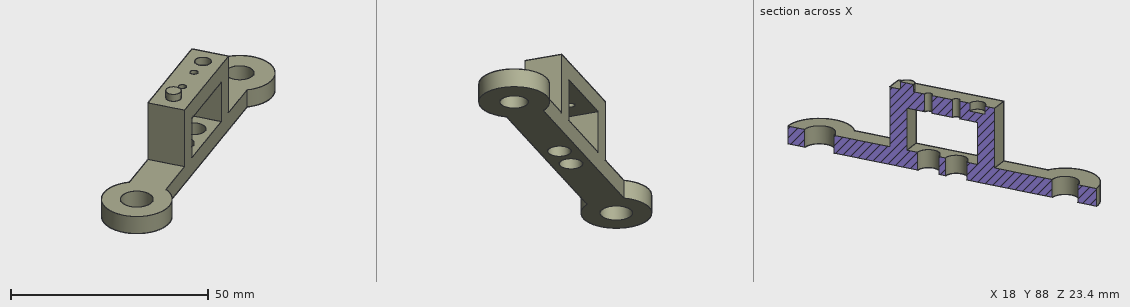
import cadquery as cq

total_length = 88.0
eye_diameter = 17.95
eye_offset = (total_length - eye_diameter) / 2
arm_width = 10.0
base_thickness = 5.0
rear_eye_bore = 7.2
front_eye_bore = 8.3

frame_length = 30.0
wall = 5.0
window_height = 11.4
window_length = frame_length - 2 * wall
window_top = base_thickness + window_height
frame_height = window_top + wall

peg_offset = 10.0
peg_diameter = 4.0
peg_height = 2.0
socket_diameter = 4.2
socket_depth = 2.2

screw_offset = 4.0
screw_diameter = 2.0
access_diameter = 6.0


def cylinder(diameter, y, z_bottom, height):
    """Upright cylinder on the centreline of the bar."""
    return cq.Workplane("XY", origin=(0, y, z_bottom)).circle(diameter / 2).extrude(height)


def block(length, z_bottom, height):
    """Centred block as wide as the arm."""
    return cq.Workplane("XY", origin=(0, 0, z_bottom)).rect(arm_width, length).extrude(height)


result = block(2 * eye_offset, 0, base_thickness)
for y in (-eye_offset, eye_offset):
    result = result.union(cylinder(eye_diameter, y, 0, base_thickness))
result = result.union(block(frame_length, 0, frame_height))
result = result.cut(block(window_length, base_thickness, window_height))

for bore, y in ((front_eye_bore, -eye_offset), (rear_eye_bore, eye_offset)):
    result = result.cut(cylinder(bore, y, 0, base_thickness))

for y in (-screw_offset, screw_offset):
    result = result.cut(cylinder(screw_diameter, y, window_top, wall))
    result = result.cut(cylinder(access_diameter, y, 0, base_thickness))

result = result.union(cylinder(peg_diameter, -peg_offset, frame_height, peg_height))
socket_floor = frame_height - socket_depth
result = result.cut(cylinder(socket_diameter, peg_offset, socket_floor, socket_depth))